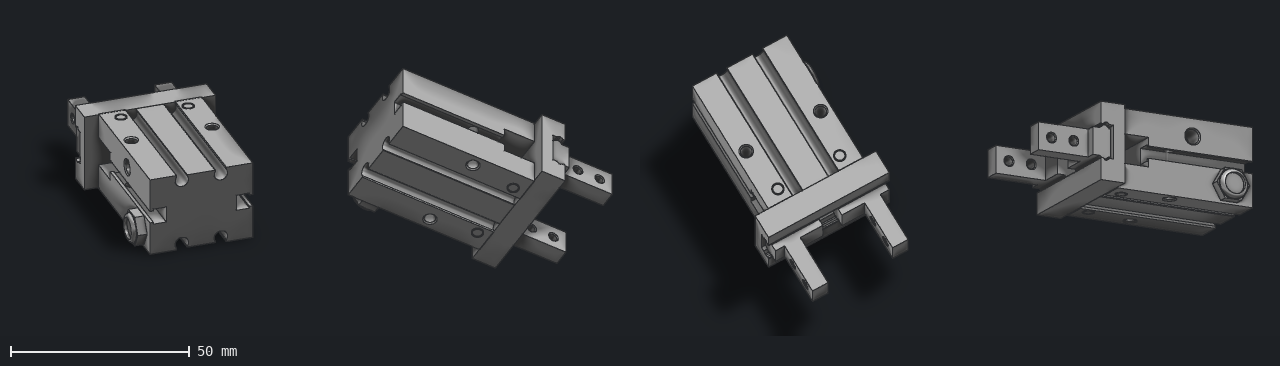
import cadquery as cq
import math

BODY_FRONT = 25.05
BODY_END = 67.5
BODY_WIDTH = 30.6
BODY_HEIGHT = 23.5
LAND_DROP = 0.35
WINDOW_END = 34.7
WINDOW_HEIGHT = 8.65

GROOVE_Y = 5.8
GROOVE_MOUTH = 3.25
GROOVE_RADIUS = 1.95
GROOVE_CENTER_DEPTH = 1.75

SLOT_MOUTH = 3.6
SLOT_LIP = 1.0
SLOT_INNER = 4.7
SLOT_DEPTH = 4.85

MOUNT_X = 43.0
MOUNT_Y = 12.0
MOUNT_DIAMETER = 3.25
MOUNT_MOUTH = 4.05
PORT_X = 48.6
PORT_Z = 6.5
PORT_DIAMETER = 4.25
PORT_MOUTH = 5.0
PORT_DEPTH = 6.75
BLEED_DIAMETER = 0.5
BLEED_DEPTH = 1.35
PIN_X = 28.8
PIN_Y = 10.0
PIN_OUTER = 3.45
PIN_INNER = 2.9
PIN_RING_DEPTH = 0.3

PLUG_X = 60.0
HEX_FLATS = 9.0
HEX_HEIGHT = 2.8
HEX_WASHER_FACE = 0.15
CAP_DIAMETER = 8.65
CAP_TOP = 4.0
CAP_RECESS_DIAMETER = 6.3
CAP_RECESS_DEPTH = 1.0

GUIDE_FRONT = 17.55
GUIDE_WIDTH = 39.0
GUIDE_HEIGHT = 22.95
TRACK_FLOOR = 21.5
TRACK_HALF = 4.9
TRACK_CHAMFER = 0.2
TRACK_NOTCH_DEPTH = 0.6

JAW_CENTER_Y = 10.7
JAW_FOOT_WIDTH = 15.3
JAW_FOOT_FRONT = 15.6
JAW_FOOT_BACK = 21.1
JAW_HEIGHT = 8.2
FINGER_OUTER_Y = 15.45
FINGER_WIDTH = 5.05
FINGER_HOLE_X = (4.05, 11.1)
FINGER_HOLE_DIAMETER = 2.5
FINGER_HOLE_MOUTH = 3.1

RIDGE_X = 19.25
RIDGE_HEIGHT = 1.0
RIDGE_TOP = 0.5
RIDGE_RUN = 1.3


def box(x0, x1, y0, y1, z0, z1):
    return cq.Workplane("XY").box(x1 - x0, y1 - y0, z1 - z0, centered=False).translate((x0, y0, z0))


def chamfered_hole(plane, diameter, mouth, depth):
    """Round cutter going into `plane` from its origin, with a 45 degree chamfer at the mouth."""
    radius = diameter / 2
    mouth_radius = mouth / 2
    chamfer = mouth_radius - radius
    hole = cq.Workplane(plane).circle(radius).extrude(-depth)
    cone = cq.Solid.makeCone(mouth_radius, radius, chamfer, plane.origin, -plane.zDir)
    return hole.union(cq.Workplane(cone))


def cut_windows_and_grooves(body):
    half_width = BODY_WIDTH / 2
    half_height = BODY_HEIGHT / 2
    length = BODY_END - BODY_FRONT
    half_window = WINDOW_HEIGHT / 2
    body = body.cut(box(BODY_FRONT, WINDOW_END, -half_width, half_width, -half_window, half_window))
    for side in (-1, 1):
        face_z = side * half_height
        land_z = side * (half_height - LAND_DROP)
        land_zs = sorted((face_z, land_z))
        body = body.cut(box(BODY_FRONT, BODY_END, -GROOVE_Y, GROOVE_Y, *land_zs))
        groove_z = side * (half_height - GROOVE_CENTER_DEPTH)
        mouth_zs = sorted((face_z, groove_z))
        for y in (-GROOVE_Y, GROOVE_Y):
            mouth = box(BODY_FRONT, BODY_END, y - GROOVE_MOUTH / 2, y + GROOVE_MOUTH / 2, *mouth_zs)
            bore = cq.Workplane("YZ", origin=(BODY_FRONT, y, groove_z)).circle(GROOVE_RADIUS).extrude(length)
            body = body.cut(mouth).cut(bore)
        lip_ys = sorted((side * half_width, side * (half_width - SLOT_LIP)))
        inner_ys = sorted((side * (half_width - SLOT_LIP), side * (half_width - SLOT_DEPTH)))
        body = body.cut(box(BODY_FRONT, BODY_END, *lip_ys, -SLOT_MOUTH / 2, SLOT_MOUTH / 2))
        body = body.cut(box(BODY_FRONT, BODY_END, *inner_ys, -SLOT_INNER / 2, SLOT_INNER / 2))
    return body


def cut_holes(body):
    half_height = BODY_HEIGHT / 2
    for side in (-1, 1):
        for y in (-MOUNT_Y, MOUNT_Y):
            plane = cq.Plane((MOUNT_X, y, side * half_height), xDir=(1, 0, 0), normal=(0, 0, side))
            body = body.cut(chamfered_hole(plane, MOUNT_DIAMETER, MOUNT_MOUTH, half_height))
        for y in (-PIN_Y, PIN_Y):
            plane = cq.Plane((PIN_X, y, side * half_height), xDir=(1, 0, 0), normal=(0, 0, side))
            ring = cq.Workplane(plane).circle(PIN_OUTER / 2).circle(PIN_INNER / 2).extrude(-PIN_RING_DEPTH)
            body = body.cut(ring)
    plane = cq.Plane((PORT_X, -BODY_WIDTH / 2, PORT_Z), xDir=(1, 0, 0), normal=(0, -1, 0))
    port = chamfered_hole(plane, PORT_DIAMETER, PORT_MOUTH, PORT_DEPTH)
    bleed = cq.Workplane(plane).circle(BLEED_DIAMETER / 2).extrude(-(PORT_DEPTH + BLEED_DEPTH))
    return body.cut(port).cut(bleed)


def make_plug():
    plane = cq.Plane((PLUG_X, -BODY_WIDTH / 2, -PORT_Z), xDir=(1, 0, 0), normal=(0, -1, 0))
    corners = HEX_FLATS / math.cos(math.radians(30))
    head = cq.Workplane(plane).polygon(6, corners).extrude(HEX_HEIGHT)
    washer_face = cq.Workplane(plane).circle(HEX_FLATS / 2).extrude(HEX_HEIGHT + HEX_WASHER_FACE)
    cap = cq.Workplane(plane).circle(CAP_DIAMETER / 2).extrude(CAP_TOP)
    rim_round = (CAP_DIAMETER - CAP_RECESS_DIAMETER) / 2
    cap = cap.faces("<Y").edges().fillet(rim_round)
    recess_plane = cq.Workplane(plane).workplane(offset=CAP_TOP)
    recess = recess_plane.circle(CAP_RECESS_DIAMETER / 2).extrude(-CAP_RECESS_DEPTH)
    return head.union(washer_face).union(cap).cut(recess)


def make_guide():
    half_height = GUIDE_HEIGHT / 2
    half_width = GUIDE_WIDTH / 2
    guide = box(GUIDE_FRONT, BODY_FRONT, -half_width, half_width, -half_height, half_height)
    notch_z = TRACK_HALF + TRACK_NOTCH_DEPTH
    notch_top = RIDGE_TOP / 2
    notch_base = notch_top + RIDGE_RUN * TRACK_NOTCH_DEPTH / RIDGE_HEIGHT
    upper = [
        (GUIDE_FRONT, TRACK_HALF + TRACK_CHAMFER),
        (GUIDE_FRONT + TRACK_CHAMFER, TRACK_HALF),
        (RIDGE_X - notch_base, TRACK_HALF),
        (RIDGE_X - notch_top, notch_z),
        (RIDGE_X + notch_top, notch_z),
        (RIDGE_X + notch_base, TRACK_HALF),
        (TRACK_FLOOR, TRACK_HALF),
    ]
    return guide.cut(mirrored_profile(upper, -half_width, half_width))


def mirrored_profile(upper, y0, y1):
    """Solid from y0 to y1 whose XZ outline is `upper` joined to its mirror image below Z = 0."""
    lower = [(x, -z) for x, z in reversed(upper)]
    return cq.Workplane("XZ", origin=(0, y1, 0)).polyline(upper + lower).close().extrude(y1 - y0)


def make_housing():
    half_width = BODY_WIDTH / 2
    half_height = BODY_HEIGHT / 2
    body = box(BODY_FRONT, BODY_END, -half_width, half_width, -half_height, half_height)
    body = cut_windows_and_grooves(body)
    body = cut_holes(body)
    return body.union(make_guide()).union(make_plug())


def make_jaw(side):
    """Jaw on the +Y (side = 1) or -Y (side = -1) half of the guide."""
    half_height = JAW_HEIGHT / 2
    ridge_top = RIDGE_TOP / 2
    ridge_base = ridge_top + RIDGE_RUN
    upper = [
        (JAW_FOOT_FRONT, half_height),
        (RIDGE_X - ridge_base, half_height),
        (RIDGE_X - ridge_top, half_height + RIDGE_HEIGHT),
        (RIDGE_X + ridge_top, half_height + RIDGE_HEIGHT),
        (RIDGE_X + ridge_base, half_height),
        (JAW_FOOT_BACK, half_height),
    ]
    center = side * JAW_CENTER_Y
    foot = mirrored_profile(upper, center - JAW_FOOT_WIDTH / 2, center + JAW_FOOT_WIDTH / 2)
    outer = side * FINGER_OUTER_Y
    inner = side * (FINGER_OUTER_Y - FINGER_WIDTH)
    y0, y1 = sorted((outer, inner))
    jaw = foot.union(box(0, JAW_FOOT_FRONT, y0, y1, -JAW_HEIGHT / 2, JAW_HEIGHT / 2))
    for x in FINGER_HOLE_X:
        for y, out in ((y0, -1), (y1, 1)):
            plane = cq.Plane((x, y, 0), xDir=(1, 0, 0), normal=(0, out, 0))
            jaw = jaw.cut(chamfered_hole(plane, FINGER_HOLE_DIAMETER, FINGER_HOLE_MOUTH, FINGER_WIDTH / 2))
    return jaw


housing = make_housing()
jaws = [make_jaw(side) for side in (-1, 1)]
result = cq.Compound.makeCompound([housing.val(), *[jaw.val() for jaw in jaws]])